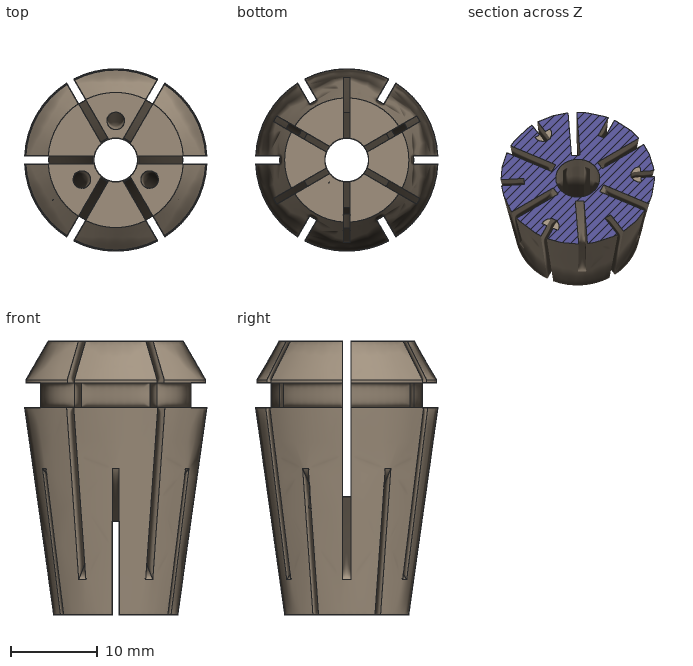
import cadquery as cq
import math

TOTAL_LENGTH = 31.5
BODY_RADIUS = 10.5
BODY_TOP_Z = 23.85
BODY_TAPER = math.radians(8)
BORE_RADIUS = 2.5

GROOVE_RADIUS = 8.7
NOSE_BOTTOM_Z = 26.7
NOSE_RADIUS = 10.35
NOSE_RIM_HEIGHT = 0.35
NOSE_TAPER = math.radians(30)

SLOT_COUNT = 6
CUTTER_RADIUS = 24.0
NOSE_SLOT_WIDTH = 0.95
NOSE_SLOT_OUTER_Z = 4.05
NOSE_SLOT_BORE_Z = 13.6
NOSE_SLOT_ARC_RADIUS = 2.65
TAIL_SLOT_WIDTH = 0.75
TAIL_SLOT_OUTER_Z = 16.85
TAIL_SLOT_BORE_Z = 10.75
TAIL_SLOT_ARC_RADIUS = 5.45

HOLE_COUNT = 3
HOLE_DIAMETER = 2.0
HOLE_CIRCLE_RADIUS = 4.5
HOLE_TILT = 8.0
FIRST_HOLE_ANGLE = 90.0
HOLE_DEPTH = 19.5

SLOT_PITCH = 360 / SLOT_COUNT
HOLE_PITCH = 360 / HOLE_COUNT
CLEARANCE = 1.0


def body_radius_at(z):
    """Radius of the long taper at height z."""
    return BODY_RADIUS - (BODY_TOP_Z - z) * math.tan(BODY_TAPER)


def make_body():
    """Revolved collet with its through bore."""
    rim_top_z = NOSE_BOTTOM_Z + NOSE_RIM_HEIGHT
    nose_top_radius = NOSE_RADIUS - (TOTAL_LENGTH - rim_top_z) * math.tan(NOSE_TAPER)
    profile = (
        cq.Workplane("XZ")
        .moveTo(BORE_RADIUS, 0)
        .lineTo(body_radius_at(0), 0)
        .lineTo(BODY_RADIUS, BODY_TOP_Z)
        .lineTo(GROOVE_RADIUS, BODY_TOP_Z)
        .lineTo(GROOVE_RADIUS, NOSE_BOTTOM_Z)
        .lineTo(NOSE_RADIUS, NOSE_BOTTOM_Z)
        .lineTo(NOSE_RADIUS, rim_top_z)
        .lineTo(nose_top_radius, TOTAL_LENGTH)
        .lineTo(BORE_RADIUS, TOTAL_LENGTH)
        .close()
    )
    return profile.revolve(360, (0, 0, 0), (0, 1, 0))


def slot_cutter(width, outer_z, bore_z, arc_radius, open_z, angle):
    """Radial saw cut, open at open_z, ending flat near the bore and in an arc beyond arc_radius."""
    outer_radius = body_radius_at(outer_z)
    far_radius = BODY_RADIUS + CLEARANCE
    run = outer_radius - arc_radius
    rise = bore_z - outer_z
    chord = math.hypot(run, rise)
    sag = CUTTER_RADIUS - math.sqrt(CUTTER_RADIUS**2 - (chord / 2) ** 2)
    toward_end = math.copysign(1, outer_z - open_z)
    mid_radius = (outer_radius + arc_radius) / 2 - sag * abs(rise) / chord
    mid_z = (outer_z + bore_z) / 2 + toward_end * sag * run / chord
    profile = (
        cq.Workplane("XZ", origin=(0, width / 2, 0))
        .moveTo(0, open_z)
        .lineTo(0, bore_z)
        .lineTo(arc_radius, bore_z)
        .threePointArc((mid_radius, mid_z), (outer_radius, outer_z))
        .lineTo(far_radius, outer_z)
        .lineTo(far_radius, open_z)
        .close()
    )
    return profile.extrude(width).rotate((0, 0, 0), (0, 0, 1), angle)


def coolant_hole(angle):
    """Blind hole that starts on the nose face and leans outward going down."""
    hole = (
        cq.Workplane("XY")
        .circle(HOLE_DIAMETER / 2)
        .extrude(HOLE_DEPTH + CLEARANCE)
        .translate((0, 0, -HOLE_DEPTH))
        .rotate((0, 0, 0), (0, 1, 0), -HOLE_TILT)
        .translate((HOLE_CIRCLE_RADIUS, 0, TOTAL_LENGTH))
    )
    return hole.rotate((0, 0, 0), (0, 0, 1), angle)


result = make_body()
for index in range(SLOT_COUNT):
    nose_angle = index * SLOT_PITCH
    tail_angle = nose_angle + SLOT_PITCH / 2
    nose_slot = slot_cutter(
        NOSE_SLOT_WIDTH,
        NOSE_SLOT_OUTER_Z,
        NOSE_SLOT_BORE_Z,
        NOSE_SLOT_ARC_RADIUS,
        TOTAL_LENGTH,
        nose_angle,
    )
    tail_slot = slot_cutter(
        TAIL_SLOT_WIDTH,
        TAIL_SLOT_OUTER_Z,
        TAIL_SLOT_BORE_Z,
        TAIL_SLOT_ARC_RADIUS,
        0,
        tail_angle,
    )
    result = result.cut(nose_slot).cut(tail_slot)
for index in range(HOLE_COUNT):
    result = result.cut(coolant_hole(FIRST_HOLE_ANGLE + index * HOLE_PITCH))